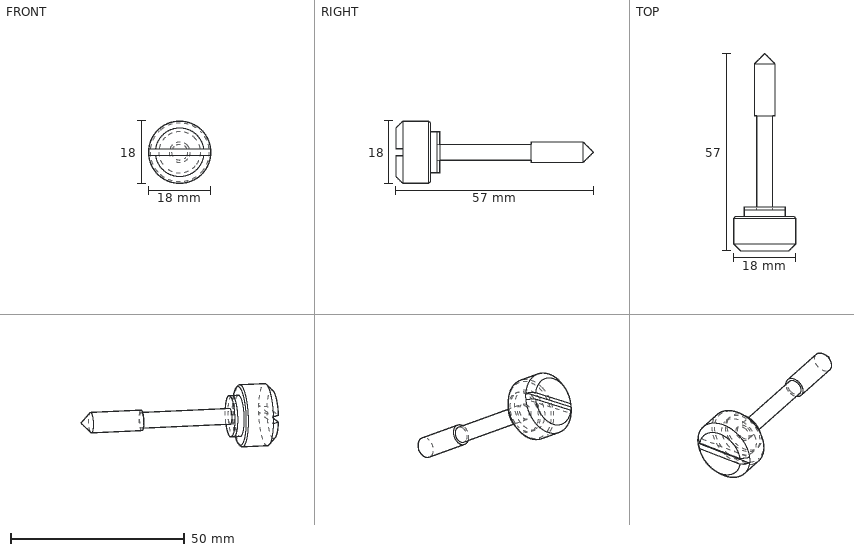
import cadquery as cq

total_length = 57.0
head_length = 10.0
collar_length = 1.9
washer_thickness = 0.85
tip_length = 18.0

head_diameter = 18.0
collar_diameter = 11.95
shank_diameter = 4.6
tip_diameter = 6.0

front_chamfer = 2.0
back_chamfer = 0.5
slot_width = 2.0
slot_depth = front_chamfer

head_radius = head_diameter / 2
collar_radius = collar_diameter / 2
shank_radius = shank_diameter / 2
tip_radius = tip_diameter / 2
collar_end = head_length + collar_length
tip_start = total_length - tip_length
point_start = total_length - tip_radius


def make_screw():
    """Captive screw: slotted head, collar, slim shank and pointed thick end."""
    profile = [
        (0, 0),
        (head_radius - front_chamfer, 0),
        (head_radius, front_chamfer),
        (head_radius, head_length - back_chamfer),
        (head_radius - back_chamfer, head_length),
        (collar_radius, head_length),
        (collar_radius, collar_end),
        (shank_radius, collar_end),
        (shank_radius, tip_start),
        (tip_radius, tip_start),
        (tip_radius, point_start),
        (0, total_length),
    ]
    turned = cq.Workplane("XY").polyline(profile).close().revolve(360, (0, 0), (0, 1))
    slot = cq.Workplane("XY").box(
        head_diameter, slot_depth, slot_width, centered=(True, False, True)
    )
    return turned.cut(slot)


def make_washer():
    """Flat washer on the shank, resting against the end of the collar."""
    return (
        cq.Workplane("XZ", origin=(0, collar_end, 0))
        .circle(collar_radius)
        .circle(shank_radius)
        .extrude(-washer_thickness)
    )


screw = make_screw()
washer = make_washer()

result = cq.Compound.makeCompound([screw.val(), washer.val()])